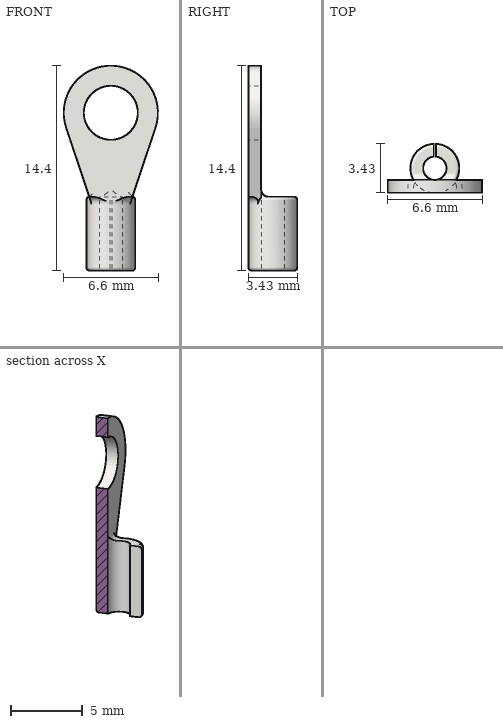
import cadquery as cq
import math

total_height = 14.35
ring_radius = 3.3
ring_hole_diameter = 3.76
ring_center_z = total_height - ring_radius

barrel_radius = 1.715
barrel_height = 5.2
wall = 0.9
bore_radius = barrel_radius - wall
seam_width = 0.13
end_round = 0.25

tongue_root_half_width = 1.52
neck_fillet = 0.49
flare_radius = 0.5

tongue_front_y = -barrel_radius
tongue_back_y = tongue_front_y + wall


def taper_angle():
    """Tilt from vertical of the tongue side that touches the ring circle."""
    drop = ring_center_z - barrel_height
    distance = math.hypot(drop, tongue_root_half_width)
    return math.asin(ring_radius / distance) - math.atan2(tongue_root_half_width, drop)


def make_tongue(bottom_z):
    """Flat ring with straight tangent sides running down to bottom_z."""
    angle = taper_angle()
    tangent_x = ring_radius * math.cos(angle)
    tangent_z = ring_center_z - ring_radius * math.sin(angle)
    bottom_x = tangent_x - (tangent_z - bottom_z) * math.tan(angle)
    return (
        cq.Workplane("XZ", origin=(0, tongue_back_y, 0))
        .moveTo(-bottom_x, bottom_z)
        .lineTo(bottom_x, bottom_z)
        .lineTo(tangent_x, tangent_z)
        .threePointArc((0, total_height), (-tangent_x, tangent_z))
        .close()
        .extrude(wall)
    )


def make_barrel():
    """Barrel whose top sweeps up into the back of the tongue."""
    neck_top = barrel_height + neck_fillet
    fillet_start_y = tongue_back_y + neck_fillet
    arc_offset = neck_fillet * (1 - math.sqrt(0.5))
    side_profile = (
        cq.Workplane("YZ")
        .moveTo(tongue_front_y, 0)
        .lineTo(barrel_radius, 0)
        .lineTo(barrel_radius, barrel_height)
        .lineTo(fillet_start_y, barrel_height)
        .threePointArc(
            (tongue_back_y + arc_offset, barrel_height + arc_offset),
            (tongue_back_y, neck_top),
        )
        .lineTo(tongue_front_y, neck_top)
        .close()
        .extrude(barrel_radius, both=True)
    )
    barrel = cq.Workplane("XY").circle(barrel_radius).extrude(neck_top).intersect(side_profile)
    barrel = barrel.faces("<Z").edges().fillet(end_round)
    rim = cq.selectors.BoxSelector(
        (-2 * barrel_radius, fillet_start_y, barrel_height - end_round),
        (2 * barrel_radius, 2 * barrel_radius, neck_top),
        boundingbox=False,
    )
    return barrel.edges(rim).edges("%CIRCLE").fillet(end_round)


def make_flare():
    """Concave fillet between the barrel wall and the underside of the tongue."""
    flare_bottom = barrel_height - flare_radius
    outer = barrel_radius + flare_radius
    arc_offset = flare_radius * (1 - math.sqrt(0.5))
    ring = (
        cq.Workplane("XZ")
        .moveTo(bore_radius, flare_bottom)
        .lineTo(barrel_radius, flare_bottom)
        .threePointArc((barrel_radius + arc_offset, barrel_height - arc_offset), (outer, barrel_height))
        .lineTo(bore_radius, barrel_height)
        .close()
        .revolve(360, (0, 0, 0), (0, 1, 0))
    )
    return ring.intersect(make_tongue(flare_bottom))


def make_seam():
    """Slit along the full barrel on the side away from the tongue."""
    return cq.Workplane("XY").box(
        seam_width, barrel_radius, barrel_height, centered=(True, False, False)
    )


bore = cq.Workplane("XY").circle(bore_radius).extrude(total_height)
ring_hole = (
    cq.Workplane("XZ", origin=(0, tongue_back_y, ring_center_z))
    .circle(ring_hole_diameter / 2)
    .extrude(wall)
)

barrel = make_barrel().cut(bore).cut(make_seam())
tongue = make_tongue(barrel_height).cut(ring_hole)
result = barrel.union(make_flare()).union(tongue)